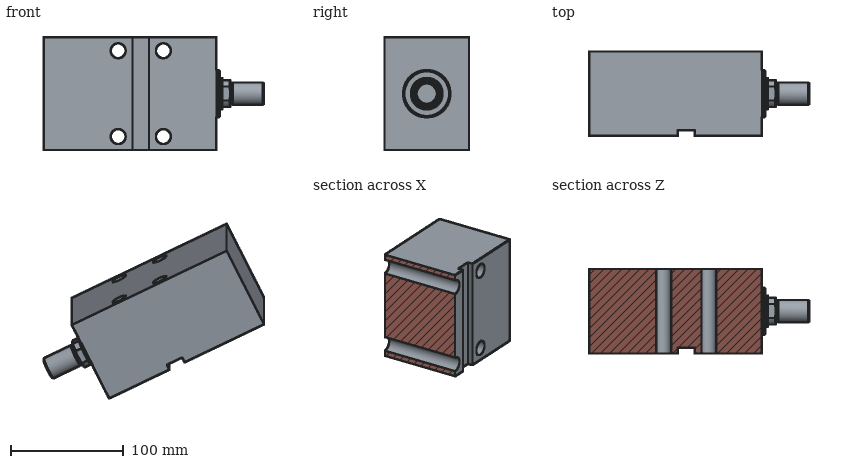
import cadquery as cq

housing_length = 153.0
housing_depth = 75.0
housing_height = 100.0
housing_chamfer = 0.3
axis_y = housing_depth / 2
axis_z = housing_height / 2

groove_start = 78.5
groove_width = 15.0
groove_depth = 5.0

hole_diameter = 13.0
hole_columns = (66.0, 106.0)
hole_row_spacing = 76.0

gland_radius = 21.0
gland_length = 3.0
gland_chamfer = 1.2

rod_radius = 14.0
rod_step_chamfer = 0.5
rod_step_radius = rod_radius - rod_step_chamfer
rod_step_start = 5.6
rod_end = 12.3
rod_end_chamfer_length = 0.8
rod_end_radius = 11.5
rod_flats_width = 24.0

stud_length = 42.0
stud_radius = 10.0
stud_neck_radius = 8.8
stud_thread_start = 14.5
stud_lead_in = 0.6
stud_chamfer = 1.0


def turned(profile):
    """Revolve an (axial, radial) profile about the rod axis; axial zero is the end face."""
    origin = (housing_length, axis_y, axis_z)
    plane = cq.Plane(origin=origin, xDir=(1, 0, 0), normal=(0, -1, 0))
    return cq.Workplane(plane).polyline(profile).close().revolve(360, (0, 0), (1, 0))


def make_housing():
    block = cq.Workplane("XY").box(housing_length, housing_depth, housing_height, centered=False)
    block = block.edges("<Y and (>Z or <Z)").chamfer(housing_chamfer)
    groove = (
        cq.Workplane("XY")
        .box(groove_width, groove_depth, housing_height, centered=False)
        .translate((groove_start, 0, 0))
    )
    block = block.cut(groove)
    for x in hole_columns:
        for side in (-1, 1):
            z = axis_z + side * hole_row_spacing / 2
            drill = cq.Solid.makeCylinder(
                hole_diameter / 2, housing_depth, cq.Vector(x, 0, z), cq.Vector(0, 1, 0)
            )
            block = block.cut(cq.Workplane(drill))
    return block


def make_gland():
    return turned([
        (0, rod_radius),
        (0, gland_radius),
        (gland_length - gland_chamfer, gland_radius),
        (gland_length, gland_radius - gland_chamfer),
        (gland_length, rod_radius),
    ])


def make_rod():
    rod = turned([
        (0, 0),
        (0, rod_radius),
        (rod_step_start - rod_step_chamfer, rod_radius),
        (rod_step_start, rod_step_radius),
        (rod_end - rod_end_chamfer_length, rod_step_radius),
        (rod_end, rod_end_radius),
        (rod_end, 0),
    ])
    flats_length = rod_end - rod_step_start
    collar = cq.Workplane("XY").box(rod_step_start, housing_depth, housing_height, centered=False)
    square = (
        cq.Workplane("XY")
        .box(flats_length, rod_flats_width, rod_flats_width, centered=(False, True, True))
        .translate((housing_length + rod_step_start, axis_y, axis_z))
    )
    return rod.intersect(collar.translate((housing_length, 0, 0)).union(square))


def make_stud():
    return turned([
        (rod_end, 0),
        (rod_end, stud_neck_radius),
        (stud_thread_start - stud_lead_in, stud_neck_radius),
        (stud_thread_start, stud_radius),
        (stud_length - stud_chamfer, stud_radius),
        (stud_length, stud_radius - stud_chamfer),
        (stud_length, 0),
    ])


housing = make_housing()
gland = make_gland()
rod = make_rod()
stud = make_stud()

result = cq.Compound.makeCompound([housing.val(), gland.val(), rod.val(), stud.val()])